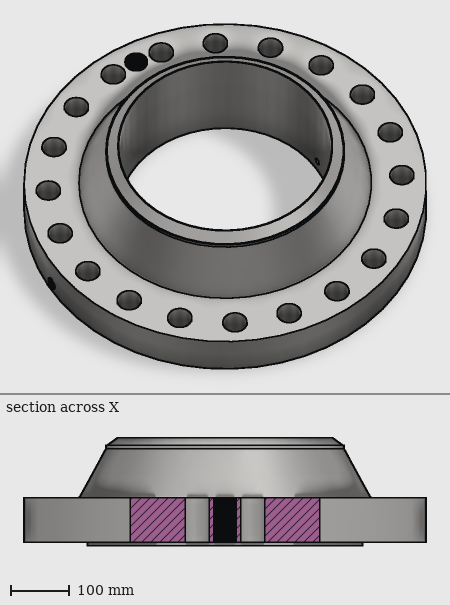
import cadquery as cq
flange_diameter = 686.0
flange_thickness = 76.0
face_diameter = 470.0
face_height = 6.0
total_height = 184.5
bore_diameter = 363.5

hub_base_diameter = 495.0
hub_base_chamfer = 1.7
weld_end_diameter = 407.0
weld_land_width = 1.5
weld_shoulder_width = 2.0
weld_collar_height = 6.0
weld_bevel_height = 13.0

bolt_count = 20
bolt_circle_diameter = 603.5
bolt_hole_diameter = 41.0

jack_minor_diameter = 35.0
jack_major_diameter = 38.5
jack_turns = 24

tap_height = 24.0
tap_hole_diameter = 12.5
socket_mouth_diameter = 21.0
socket_end_diameter = 19.0
socket_depth = 27.5
socket_thread_depth = 1.5
socket_turns = 15

flange_top = face_height + flange_thickness


def ring_body():
    """Revolved flange, raised face, tapered hub and bevelled weld end."""
    bore_radius = bore_diameter / 2
    flange_radius = flange_diameter / 2
    face_radius = face_diameter / 2
    hub_radius = hub_base_diameter / 2
    weld_radius = weld_end_diameter / 2
    bevel_bottom = total_height - weld_bevel_height
    profile = [
        (bore_radius, 0),
        (face_radius, 0),
        (face_radius, face_height),
        (flange_radius, face_height),
        (flange_radius, flange_top),
        (hub_radius + hub_base_chamfer, flange_top),
        (hub_radius, flange_top + hub_base_chamfer),
        (weld_radius, bevel_bottom - weld_collar_height),
        (weld_radius, bevel_bottom),
        (weld_radius - weld_shoulder_width, bevel_bottom),
        (bore_radius + weld_land_width, total_height),
        (bore_radius, total_height),
    ]
    return cq.Workplane("XZ").polyline(profile).close().revolve(360, (0, 0), (0, 1))


def bolt_holes():
    """Evenly spaced bolt holes, straddling the X and Y axes."""
    half_step = 180 / bolt_count
    return (
        cq.Workplane("XY")
        .polarArray(bolt_circle_diameter / 2, half_step, 360, bolt_count)
        .circle(bolt_hole_diameter / 2)
        .extrude(flange_top)
    )


def threaded_cutter(depth, mouth_radius, end_radius, thread_depth, turns):
    """Cutter along +Z from the origin, its thread formed by V rings; the radii are those of the roots."""
    pitch = depth / turns
    taper = (mouth_radius - end_radius) / depth
    profile = [(0, 0), (mouth_radius, 0)]
    for turn in range(turns):
        crest_height = (turn + 0.5) * pitch
        root_height = (turn + 1) * pitch
        profile.append((mouth_radius - taper * crest_height - thread_depth, crest_height))
        profile.append((mouth_radius - taper * root_height, root_height))
    profile.append((0, depth))
    return cq.Workplane("XZ").polyline(profile).close().revolve(360, (0, 0), (0, 1))


def jack_screw_hole():
    """Straight threaded hole through the flange on the -X side of the bolt circle."""
    root_radius = jack_major_diameter / 2
    thread_depth = (jack_major_diameter - jack_minor_diameter) / 2
    cutter = threaded_cutter(flange_thickness, root_radius, root_radius, thread_depth, jack_turns)
    return cutter.translate((-bolt_circle_diameter / 2, 0, face_height))


def pressure_taps():
    """Radial hole through both walls along Y, with a tapered pipe thread at each rim."""
    flange_radius = flange_diameter / 2
    bore_hole = (
        cq.Workplane("XZ", origin=(0, 0, tap_height))
        .circle(tap_hole_diameter / 2)
        .extrude(flange_radius, both=True)
    )
    socket = threaded_cutter(
        socket_depth,
        socket_mouth_diameter / 2,
        socket_end_diameter / 2,
        socket_thread_depth,
        socket_turns,
    )
    front_socket = socket.rotate((0, 0, 0), (1, 0, 0), -90).translate((0, -flange_radius, tap_height))
    return bore_hole.union(front_socket).union(front_socket.mirror("XZ"))


result = ring_body().cut(bolt_holes()).cut(jack_screw_hole()).cut(pressure_taps())